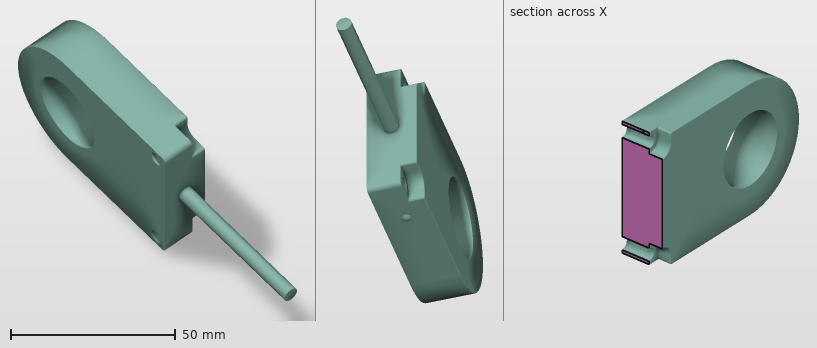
import cadquery as cq

total_length = 120.0
body_length = 69.8
body_height = 47.0
body_depth = 16.0
body_radius = body_height / 2
body_corner_radius = 1.5
back_edge_round = 0.4

bore_diameter = 25.5
body_end = body_length - body_radius
back_face = body_depth / 2

hole_diameter = 4.5
hole_to_end = 4.3
hole_spacing = 40.0
hole_x = body_end - hole_to_end
recess_depth = 5.2
recess_radius = 4.0
recess_mouth_round = 0.7

cable_diameter = 4.9

lamp_diameter = 3.0
lamp_height = 0.7
lamp_x = 30.6


def cylinder_along_y(diameter, x, z):
    """Cylinder through the whole body depth."""
    return (
        cq.Workplane("XZ", origin=(0, back_face, 0))
        .center(x, z)
        .circle(diameter / 2)
        .extrude(body_depth)
    )


def make_body():
    """Plate with a semicircular end and two small rounded corners."""
    plate = (
        cq.Workplane("XZ", origin=(0, back_face, 0))
        .moveTo(0, body_radius)
        .lineTo(body_end, body_radius)
        .lineTo(body_end, -body_radius)
        .lineTo(0, -body_radius)
        .threePointArc((-body_radius, 0), (0, body_radius))
        .close()
        .extrude(body_depth)
    )
    return plate.edges("|Y and >X").fillet(body_corner_radius)


def make_recess(side):
    """Corner pocket, rounded about its hole; side is +1 for top, -1 for bottom."""
    hole_z = side * hole_spacing / 2
    inner_x = hole_x - recess_radius
    inner_z = hole_z - side * recess_radius
    outer_x = body_end
    outer_z = side * body_radius
    mouth = recess_mouth_round
    arc_offset = recess_radius * 0.5**0.5
    mouth_offset = mouth * (1 - 0.5**0.5)
    return (
        cq.Workplane("XZ", origin=(0, back_face, 0))
        .moveTo(hole_x, inner_z)
        .threePointArc((hole_x - arc_offset, hole_z - side * arc_offset), (inner_x, hole_z))
        .lineTo(inner_x, outer_z - side * mouth)
        .threePointArc(
            (inner_x - mouth_offset, outer_z - side * mouth_offset),
            (inner_x - mouth, outer_z),
        )
        .lineTo(outer_x, outer_z)
        .lineTo(outer_x, inner_z - side * mouth)
        .threePointArc(
            (outer_x - mouth_offset, inner_z - side * mouth_offset),
            (outer_x - mouth, inner_z),
        )
        .close()
        .extrude(recess_depth)
    )


def make_cable():
    """Straight round cable leaving the middle of the flat end."""
    return (
        cq.Workplane("YZ", origin=(body_end, 0, 0))
        .circle(cable_diameter / 2)
        .extrude(total_length - body_length)
    )


def make_lamp():
    """Ball sunk into the underside so that only a shallow dome shows."""
    ball_radius = ((lamp_diameter / 2) ** 2 + lamp_height**2) / (2 * lamp_height)
    ball_z = -body_radius - lamp_height + ball_radius
    return cq.Workplane("XY", origin=(lamp_x, 0, ball_z)).sphere(ball_radius)


result = make_body()
for recess_side in (1, -1):
    result = result.cut(make_recess(recess_side))
result = result.faces(">Y").edges().fillet(back_edge_round)

result = result.cut(cylinder_along_y(bore_diameter, 0, 0))
for hole_side in (1, -1):
    result = result.cut(cylinder_along_y(hole_diameter, hole_x, hole_side * hole_spacing / 2))

result = result.union(make_cable()).union(make_lamp())
result = result.translate((body_radius, 0, 0))